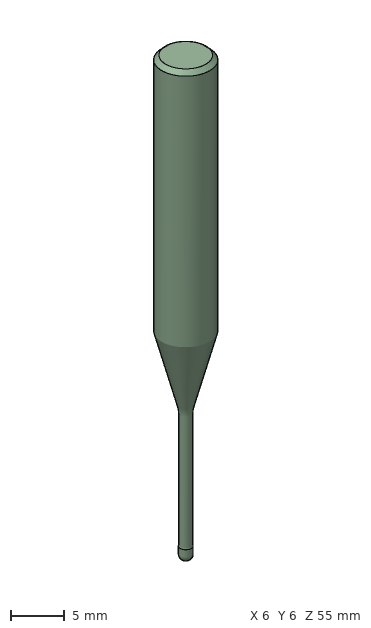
import cadquery as cq
import math

overall_length = 55.0
shank_radius = 6.0 / 2
shank_chamfer = 0.5

ball_radius = 1.4 / 2
head_length = 1.55

neck_radius = 1.35 / 2
step_height = 0.15
neck_end_z = 16.0
taper_half_angle = math.radians(15.2)
blend_radius = 3.0

blend_mid_angle = taper_half_angle / 2


def blend_point(angle):
    """Point (radius, Z) on the blend arc after turning by the given angle."""
    radius = neck_radius + blend_radius * (1 - math.cos(angle))
    height = neck_end_z + blend_radius * math.sin(angle)
    return radius, height


blend_end = blend_point(taper_half_angle)
taper_top_z = blend_end[1] + (shank_radius - blend_end[0]) / math.tan(taper_half_angle)


def revolve_about_z(profile):
    """Turn a closed (radius, Z) profile once around the tool axis."""
    return profile.close().revolve(360, (0, 0, 0), (0, 1, 0))


def make_cutting_head():
    """Ball-nosed cylinder at the tip."""
    arc_mid = ball_radius * math.sin(math.pi / 4)
    profile = (
        cq.Workplane("XZ")
        .moveTo(0, 0)
        .threePointArc((arc_mid, ball_radius - arc_mid), (ball_radius, ball_radius))
        .lineTo(ball_radius, head_length)
        .lineTo(0, head_length)
    )
    return revolve_about_z(profile)


def make_shank():
    """Slim neck, blended taper and chamfered cylindrical shank."""
    profile = (
        cq.Workplane("XZ")
        .moveTo(0, head_length)
        .lineTo(ball_radius, head_length)
        .lineTo(neck_radius, head_length + step_height)
        .lineTo(neck_radius, neck_end_z)
        .threePointArc(blend_point(blend_mid_angle), blend_end)
        .lineTo(shank_radius, taper_top_z)
        .lineTo(shank_radius, overall_length - shank_chamfer)
        .lineTo(shank_radius - shank_chamfer, overall_length)
        .lineTo(0, overall_length)
    )
    return revolve_about_z(profile)


cutting_head = make_cutting_head()
shank = make_shank()

result = cq.Compound.makeCompound([cutting_head.val(), shank.val()])